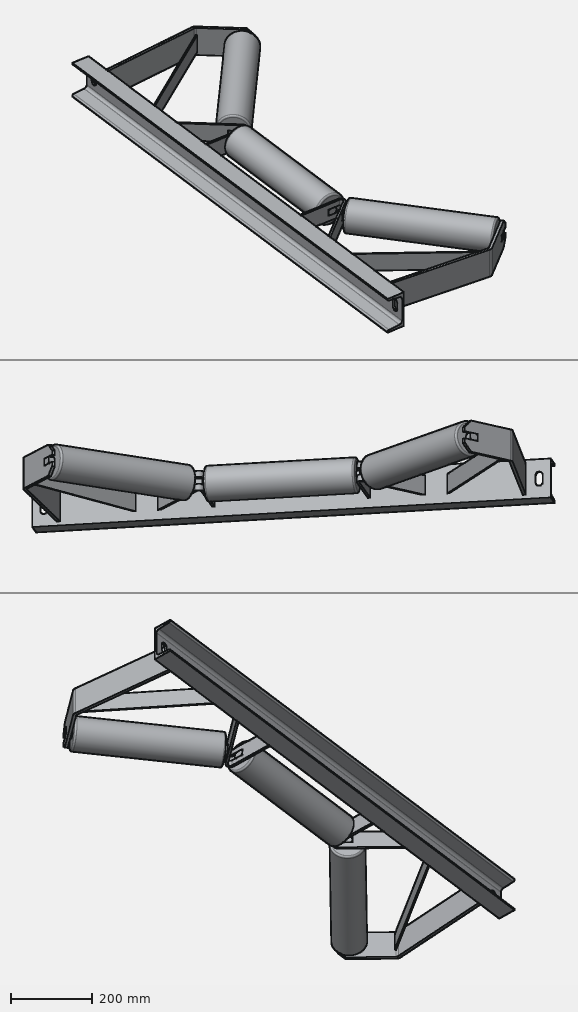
import cadquery as cq
import math


OVERALL_HEIGHT = 460.07
TROUGH_ANGLE = 40.0

BASE_LENGTH = 1300.0
BASE_DEPTH = 100.0
FLANGE_WIDTH = 50.0
WEB_THICKNESS = 6.0
FLANGE_MEAN_THICKNESS = 8.5
FLANGE_SLOPE = 0.08
ROOT_RADIUS = 8.5
TOE_RADIUS = 4.5
BOLT_SLOT_LENGTH = 36.0
BOLT_SLOT_WIDTH = 18.0
BOLT_SLOT_END_DISTANCE = 29.0

ROLLER_DIAMETER = 89.0
ROLLER_LENGTH = 378.0
ROLLER_EDGE_RADIUS = 5.0
SHAFT_DIAMETER = 25.0
SHAFT_FLATS = 18.0

INNER_PLATE_THICKNESS = 6.0
OUTER_PLATE_THICKNESS = 8.0
INNER_PLATE_WIDTH = 50.0
OUTER_PLATE_WIDTH = 80.0
FLAT_ROLLER_GAP = 3.0
WING_ROLLER_GAP = 8.5
FLAT_ROLLER_HEIGHT = 117.0
INNER_BEND_RADIUS = 12.0
INNER_BEND_HEIGHT = 138.0
WING_AXIS_DROP = 22.0
OUTER_BEND_RADIUS = 16.0
OUTER_BEND_HEIGHT = 290.0
POST_LEAN = 5.0
TIP_CHAMFER = 20.0

BRACE_THICKNESS = 4.0
BRACE_WIDTH = 50.0
BRACE_ANGLE = 55.0
BRACE_FOOT_X = -393.0

WING_OUT = 180.0 - TROUGH_ANGLE
ALONG_ARM = WING_OUT - 90.0


def moved(point, direction, distance):
    """Point moved in the XY plane along a direction given in degrees."""
    angle = math.radians(direction)
    return (point[0] + distance * math.cos(angle), point[1] + distance * math.sin(angle))


def foot(point, direction):
    """Point where a line through `point` meets the back of the base (Y = 0)."""
    return (point[0] - point[1] / math.tan(math.radians(direction)), 0.0)


flat_clearance = ROLLER_LENGTH + 2 * FLAT_ROLLER_GAP
wing_clearance = ROLLER_LENGTH + 2 * WING_ROLLER_GAP

flat_face_x = -flat_clearance / 2
inner_bend = (flat_face_x - INNER_BEND_RADIUS, INNER_BEND_HEIGHT)
leg_top = moved(inner_bend, WING_OUT, INNER_BEND_RADIUS)
leg_axis = moved(leg_top, ALONG_ARM, -WING_AXIS_DROP)
wing_centre = moved(leg_axis, WING_OUT, wing_clearance / 2)
arm_axis = moved(leg_axis, WING_OUT, wing_clearance + OUTER_PLATE_THICKNESS)

tip_height = OVERALL_HEIGHT - FLANGE_WIDTH
tip_corner = moved(arm_axis, ALONG_ARM, (tip_height - arm_axis[1]) / math.sin(math.radians(ALONG_ARM)))
arm_at_bend_height = moved(
    arm_axis, ALONG_ARM, (OUTER_BEND_HEIGHT - arm_axis[1]) / math.sin(math.radians(ALONG_ARM)))
outer_bend = (
    arm_at_bend_height[0] + OUTER_BEND_RADIUS / math.cos(math.radians(TROUGH_ANGLE)), OUTER_BEND_HEIGHT)


def plate(outline, width):
    """Solid of a closed XY outline, centred on Z = 0."""
    return outline.close().extrude(width).translate((0, 0, -width / 2))


def rod(diameter, length):
    """Cylinder along X, centred on the origin."""
    return (
        cq.Workplane("YZ")
        .circle(diameter / 2)
        .extrude(length)
        .translate((-length / 2, 0, 0))
    )


def make_base():
    half_depth = BASE_DEPTH / 2
    taper = FLANGE_SLOPE * FLANGE_WIDTH / 2
    toe_z = half_depth - (FLANGE_MEAN_THICKNESS - taper)
    root_z = half_depth - (FLANGE_MEAN_THICKNESS + taper - FLANGE_SLOPE * WEB_THICKNESS)
    profile = [
        (0, -half_depth),
        (0, half_depth),
        (-FLANGE_WIDTH, half_depth),
        (-FLANGE_WIDTH, toe_z),
        (-WEB_THICKNESS, root_z),
        (-WEB_THICKNESS, -root_z),
        (-FLANGE_WIDTH, -toe_z),
        (-FLANGE_WIDTH, -half_depth),
    ]
    base = cq.Workplane("YZ").polyline(profile).close().extrude(BASE_LENGTH)
    base = base.translate((-BASE_LENGTH / 2, 0, 0))
    for side in (1, -1):
        root = cq.selectors.NearestToPointSelector((0, -WEB_THICKNESS, side * root_z))
        base = base.edges(root).fillet(ROOT_RADIUS)
        toe = cq.selectors.NearestToPointSelector((0, -FLANGE_WIDTH, side * toe_z))
        base = base.edges(toe).fillet(TOE_RADIUS)
    bolt_slot_x = BASE_LENGTH / 2 - BOLT_SLOT_END_DISTANCE
    bolt_slots = (
        cq.Workplane("XZ")
        .pushPoints([(-bolt_slot_x, 0), (bolt_slot_x, 0)])
        .slot2D(BOLT_SLOT_LENGTH, BOLT_SLOT_WIDTH, 90)
        .extrude(WEB_THICKNESS)
    )
    return base.cut(bolt_slots)


def make_roller(centre, direction, clearance, start_plate, end_plate):
    """Roller with its shaft, which has two flats where it sits in the plates at its ends."""
    roller = rod(ROLLER_DIAMETER, ROLLER_LENGTH).faces("<X or >X").edges().fillet(ROLLER_EDGE_RADIUS)
    flatted_length = clearance + start_plate + end_plate
    flatted_middle = (end_plate - start_plate) / 2
    flatted_shaft = (
        rod(SHAFT_DIAMETER, flatted_length)
        .intersect(cq.Workplane("XY").box(flatted_length, SHAFT_DIAMETER, SHAFT_FLATS))
        .translate((flatted_middle, 0, 0))
    )
    return (
        roller.union(rod(SHAFT_DIAMETER, clearance))
        .union(flatted_shaft)
        .rotate((0, 0, 0), (0, 0, 1), direction)
        .translate((centre[0], centre[1], 0))
    )


def shaft_slot(axis_point, outward, up, length, depth):
    """Open slot cutter: starts below the shaft and runs `length` up, `depth` into the plate."""
    start = moved(axis_point, up, -SHAFT_DIAMETER / 2)
    end = moved(start, up, length)
    outline = cq.Workplane("XY").polyline(
        [start, end, moved(end, outward, -depth), moved(start, outward, -depth)])
    return plate(outline, SHAFT_FLATS)


def make_inner_bracket():
    """Upright post for the flat roller, bent over into a leg for the wing roller."""
    outside = INNER_BEND_RADIUS
    inside = outside - INNER_PLATE_THICKNESS
    middle = WING_OUT / 2
    leg_inside = moved(inner_bend, WING_OUT, inside)
    outline = (
        cq.Workplane("XY")
        .moveTo(inner_bend[0] + outside, 0)
        .lineTo(inner_bend[0] + outside, inner_bend[1])
        .threePointArc(moved(inner_bend, middle, outside), leg_top)
        .lineTo(*foot(leg_top, ALONG_ARM))
        .lineTo(*foot(leg_inside, ALONG_ARM))
        .lineTo(*leg_inside)
        .threePointArc(moved(inner_bend, middle, inside), (inner_bend[0] + inside, inner_bend[1]))
        .lineTo(inner_bend[0] + inside, 0)
    )
    bracket = plate(outline, INNER_PLATE_WIDTH)
    slot_length = SHAFT_DIAMETER / 2 + WING_AXIS_DROP + 2 * INNER_BEND_RADIUS
    flat_axis = (flat_face_x, FLAT_ROLLER_HEIGHT)
    bracket = bracket.cut(shaft_slot(flat_axis, 0, 90, slot_length, INNER_BEND_RADIUS))
    return bracket.cut(shaft_slot(leg_axis, WING_OUT, ALONG_ARM, slot_length, INNER_BEND_RADIUS))


def make_outer_bracket():
    """Leaning post bent inwards into an arm with an open shaft slot at its tip."""
    post_out = 180.0 + POST_LEAN
    post_up = post_out - 90.0
    middle = (post_out + WING_OUT) / 2
    outside = OUTER_BEND_RADIUS
    inside = outside - OUTER_PLATE_THICKNESS
    post_outside = moved(outer_bend, post_out, outside)
    post_inside = moved(outer_bend, post_out, inside)
    outline = (
        cq.Workplane("XY")
        .moveTo(*foot(post_outside, post_up))
        .lineTo(*post_outside)
        .threePointArc(moved(outer_bend, middle, outside), moved(outer_bend, WING_OUT, outside))
        .lineTo(*tip_corner)
        .lineTo(*moved(tip_corner, WING_OUT, -OUTER_PLATE_THICKNESS))
        .lineTo(*moved(outer_bend, WING_OUT, inside))
        .threePointArc(moved(outer_bend, middle, inside), post_inside)
        .lineTo(*foot(post_inside, post_up))
    )
    bracket = plate(outline, OUTER_PLATE_WIDTH)
    mid_tip = moved(tip_corner, WING_OUT, -OUTER_PLATE_THICKNESS / 2)
    for side in (1, -1):
        corner = cq.selectors.NearestToPointSelector((*mid_tip, side * OUTER_PLATE_WIDTH / 2))
        bracket = bracket.edges(corner).chamfer(TIP_CHAMFER)
    slot_length = math.dist(tip_corner, arm_axis) + SHAFT_DIAMETER
    return bracket.cut(shaft_slot(arm_axis, WING_OUT, ALONG_ARM, slot_length, OUTER_PLATE_THICKNESS))


def make_brace(bracket):
    """Flat strut from the base to the inside of the outer bracket's bend."""
    lean = 180.0 - BRACE_ANGLE
    foot_half = BRACE_THICKNESS / 2 / math.sin(math.radians(BRACE_ANGLE))
    right_foot = (BRACE_FOOT_X + foot_half, 0.0)
    left_foot = (BRACE_FOOT_X - foot_half, 0.0)
    length = math.dist(outer_bend, (BRACE_FOOT_X, 0.0))
    outline = cq.Workplane("XY").polyline(
        [left_foot, right_foot, moved(right_foot, lean, length), moved(left_foot, lean, length)])
    return plate(outline, BRACE_WIDTH).cut(bracket)


def mirrored_pair(body):
    return [body.val(), body.mirror("YZ").val()]


base = make_base()
flat_roller = make_roller(
    (0, FLAT_ROLLER_HEIGHT), 0, flat_clearance, INNER_PLATE_THICKNESS, INNER_PLATE_THICKNESS)
wing_roller = make_roller(
    wing_centre, WING_OUT, wing_clearance, INNER_PLATE_THICKNESS, OUTER_PLATE_THICKNESS)
inner_bracket = make_inner_bracket()
outer_bracket = make_outer_bracket()
brace = make_brace(outer_bracket)

result = cq.Compound.makeCompound([
    base.val(),
    flat_roller.val(),
    *mirrored_pair(wing_roller),
    *mirrored_pair(inner_bracket),
    *mirrored_pair(outer_bracket),
    *mirrored_pair(brace),
])